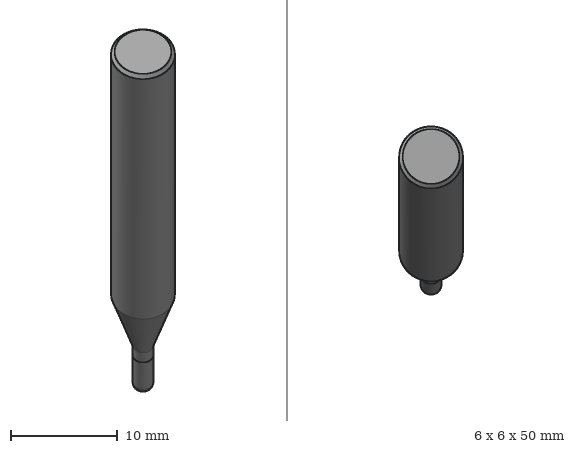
import cadquery as cq
import math

total_length = 50.0
shank_diameter = 6.0
tip_diameter = 2.0
cutting_length = 5.0
neck_top = 6.5
taper_half_angle = 15.0
end_chamfer = 0.35

shank_radius = shank_diameter / 2
tip_radius = tip_diameter / 2
taper_height = (shank_radius - tip_radius) / math.tan(math.radians(taper_half_angle))
taper_top = neck_top + taper_height


def make_cutting_head():
    """Cylinder with a hemispherical lower end, revolved about Z."""
    arc_offset = tip_radius * math.sqrt(0.5)
    profile = (
        cq.Workplane("XZ")
        .moveTo(0, 0)
        .threePointArc((arc_offset, tip_radius - arc_offset), (tip_radius, tip_radius))
        .lineTo(tip_radius, cutting_length)
        .lineTo(0, cutting_length)
        .close()
    )
    return profile.revolve(360, (0, 0, 0), (0, 1, 0))


def make_shank():
    """Short neck, taper and cylindrical shank with a chamfered top end."""
    profile = (
        cq.Workplane("XZ")
        .moveTo(0, cutting_length)
        .lineTo(tip_radius, cutting_length)
        .lineTo(tip_radius, neck_top)
        .lineTo(shank_radius, taper_top)
        .lineTo(shank_radius, total_length)
        .lineTo(0, total_length)
        .close()
    )
    body = profile.revolve(360, (0, 0, 0), (0, 1, 0))
    return body.faces(">Z").edges().chamfer(end_chamfer)


cutting_head = make_cutting_head()
shank = make_shank()

result = cq.Compound.makeCompound([cutting_head.val(), shank.val()])